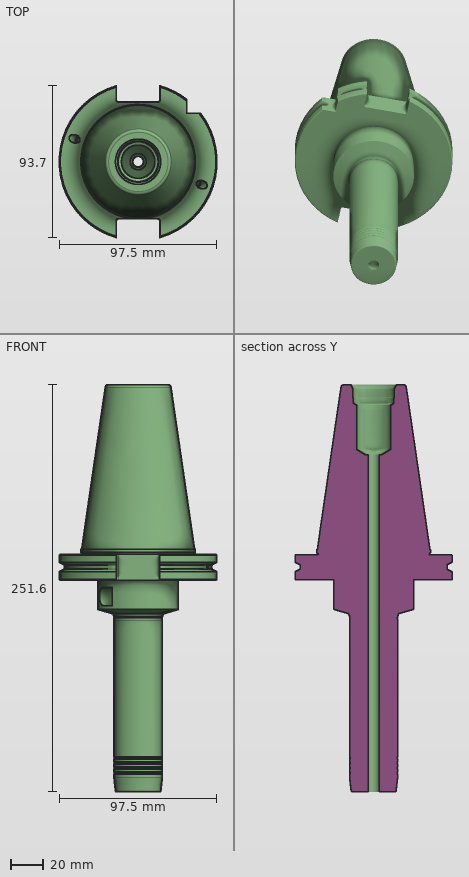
import cadquery as cq
import math

overall_length = 251.6

gauge_radius = 34.925
taper_length = 101.75
taper_slope = 7 / 48
taper_tip_fillet = 2.0
gauge_ring_radius = 35.4
gauge_ring_height = 1.9
neck_radius = 34.4

flange_radius = 97.45 / 2
flange_top_z = -3.2
flange_bottom_z = -19.1
flange_chamfer = 0.6
groove_z = -10.95
groove_floor_radius = 45.65
groove_floor_width = 2.8
groove_mouth_width = 5.7
groove_floor_fillet = 0.5

slot_half_width = 13.39
slot_corner_radius = 1.0
front_slot_floor = 35.4
rear_slot_floor = 37.0
notch_offset = 30.05

body_radius = 24.9
body_bottom_z = -37.2
body_cone_end_radius = 15.6
body_cone_end_z = -39.9
nose_top_z = -41.6
nose_radius = 15.0
relief_radius = 14.85
relief_top_z = -42.2
relief_bottom_z = -44.0
nose_taper_z = -141.0
nose_tip_radius = 14.0
nose_tip_fillet = 0.9
nose_end_z = taper_length - overall_length

seal_groove_count = 4
seal_groove_first_z = -129.0
seal_groove_pitch = 3.05
seal_groove_width = 1.7
seal_groove_depth = 0.4

mouth_radius = 14.0
mouth_depth = 2.5
pilot_radius = 12.65
pilot_depth = 8.1
counterbore_radius = 12.35
counterbore_depth = 11.5
thread_chamfer_angle = math.radians(30)
thread_radius = 10.3
thread_depth = 40.0
cone_end_radius = 5.0
coolant_radius = 3.3
drill_half_angle = math.radians(59)

screw_radius = 5.7
screw_y = -13.0
screw_z = -29.1
screw_floor_x = -16.1

port_angles = (160.2, 340.2)
port_circle_radius = 41.8
port_tilt = math.radians(42)
port_recess_radius = 2.5
port_recess_depth = 4.0
port_drill_radius = 1.6
port_drill_depth = 12.0
port_radial_radius = 1.4
port_radial_end = 36.0


def revolve_profile(profile):
    return profile.close().revolve(360, (0, 0, 0), (0, 1, 0))


def make_shank():
    tip_radius = gauge_radius - taper_slope * taper_length
    profile = (
        cq.Workplane("XZ")
        .moveTo(0, flange_top_z)
        .lineTo(neck_radius, flange_top_z)
        .lineTo(gauge_ring_radius, -gauge_ring_height)
        .lineTo(gauge_ring_radius, 0)
        .lineTo(gauge_radius, 0)
        .lineTo(tip_radius, taper_length)
        .lineTo(0, taper_length)
    )
    return revolve_profile(profile).faces(">Z").edges().fillet(taper_tip_fillet)


def make_flange():
    half_floor = groove_floor_width / 2
    half_mouth = groove_mouth_width / 2
    profile = (
        cq.Workplane("XZ")
        .moveTo(0, flange_top_z)
        .lineTo(flange_radius - flange_chamfer, flange_top_z)
        .lineTo(flange_radius, flange_top_z - flange_chamfer)
        .lineTo(flange_radius, groove_z + half_mouth)
        .lineTo(groove_floor_radius, groove_z + half_floor)
        .lineTo(groove_floor_radius, groove_z - half_floor)
        .lineTo(flange_radius, groove_z - half_mouth)
        .lineTo(flange_radius, flange_bottom_z + flange_chamfer)
        .lineTo(flange_radius - flange_chamfer, flange_bottom_z)
        .lineTo(0, flange_bottom_z)
    )
    flange = revolve_profile(profile)
    floor_edges = cq.selectors.RadiusNthSelector(0)
    return flange.edges("%CIRCLE").edges(floor_edges).fillet(groove_floor_fillet)


def flange_cutter(x_min, x_max, y_min, y_max):
    height = flange_top_z - flange_bottom_z
    block = cq.Workplane("XY").box(x_max - x_min, y_max - y_min, height, centered=False)
    return block.translate((x_min, y_min, flange_bottom_z))


def cut_flange(flange):
    reach = flange_radius + 1
    rear_slot = flange_cutter(-slot_half_width, slot_half_width, rear_slot_floor, reach)
    front_slot = flange_cutter(-slot_half_width, slot_half_width, -reach, -front_slot_floor)
    rear_slot = rear_slot.edges("|Z and <Y").fillet(slot_corner_radius)
    front_slot = front_slot.edges("|Z and >Y").fillet(slot_corner_radius)
    notch = flange_cutter(notch_offset, reach, notch_offset, reach)
    return flange.cut(rear_slot).cut(front_slot).cut(notch)


def make_body():
    profile = (
        cq.Workplane("XZ")
        .moveTo(0, flange_bottom_z)
        .lineTo(body_radius, flange_bottom_z)
        .lineTo(body_radius, body_bottom_z)
        .lineTo(body_cone_end_radius, body_cone_end_z)
        .lineTo(nose_radius, nose_top_z)
        .lineTo(nose_radius, relief_top_z)
        .lineTo(relief_radius, relief_top_z)
        .lineTo(nose_radius, relief_bottom_z)
        .lineTo(nose_radius, nose_taper_z)
        .lineTo(nose_tip_radius, nose_end_z)
        .lineTo(0, nose_end_z)
    )
    return revolve_profile(profile).faces("<Z").edges().fillet(nose_tip_fillet)


def seal_groove(index):
    center_z = seal_groove_first_z - index * seal_groove_pitch
    half_width = seal_groove_width / 2
    profile = (
        cq.Workplane("XZ")
        .moveTo(nose_radius, center_z + half_width)
        .lineTo(nose_radius - seal_groove_depth, center_z)
        .lineTo(nose_radius, center_z - half_width)
    )
    return revolve_profile(profile)


def drawbar_bore():
    counterbore_z = taper_length - counterbore_depth
    pilot_z = taper_length - pilot_depth
    pilot_end_z = pilot_z - (pilot_radius - counterbore_radius)
    step_z = counterbore_z - (counterbore_radius - thread_radius) * math.tan(thread_chamfer_angle)
    thread_end_z = taper_length - thread_depth
    cone_end_z = thread_end_z - (thread_radius - cone_end_radius) / math.tan(drill_half_angle)
    profile = (
        cq.Workplane("XZ")
        .moveTo(0, taper_length)
        .lineTo(mouth_radius, taper_length)
        .lineTo(pilot_radius, taper_length - mouth_depth)
        .lineTo(pilot_radius, pilot_z)
        .lineTo(counterbore_radius, pilot_end_z)
        .lineTo(counterbore_radius, counterbore_z)
        .lineTo(thread_radius, step_z)
        .lineTo(thread_radius, thread_end_z)
        .lineTo(cone_end_radius, cone_end_z)
        .lineTo(coolant_radius, cone_end_z)
        .lineTo(coolant_radius, nose_end_z)
        .lineTo(0, nose_end_z)
    )
    return revolve_profile(profile)


def screw_pocket():
    length = body_radius + screw_floor_x
    mouth = cq.Workplane("YZ", origin=(-body_radius, screw_y, screw_z))
    hole = mouth.circle(screw_radius).extrude(length)
    tip = cq.Workplane(
        cq.Solid.makeCone(
            screw_radius,
            0,
            screw_radius / math.tan(drill_half_angle),
            cq.Vector(screw_floor_x, screw_y, screw_z),
            cq.Vector(1, 0, 0),
        )
    )
    open_width = body_radius + screw_y
    opening = mouth.center(-open_width / 2, 0).rect(open_width, 2 * screw_radius).extrude(length)
    return hole.union(opening).union(tip)


def coolant_port(angle):
    inward = cq.Vector(-math.sin(port_tilt), 0, -math.cos(port_tilt))
    mouth = cq.Vector(port_circle_radius, 0, flange_top_z)
    lead_in = 2 * port_recess_radius
    recess = cq.Solid.makeCylinder(
        port_recess_radius, port_recess_depth + lead_in, mouth - inward * lead_in, inward
    )
    drilling = cq.Solid.makeCylinder(port_drill_radius, port_drill_depth, mouth, inward)
    radial_hole = cq.Solid.makeCylinder(
        port_radial_radius,
        flange_radius - port_radial_end,
        cq.Vector(port_radial_end, 0, groove_z),
        cq.Vector(1, 0, 0),
    )
    port = cq.Workplane(recess.fuse(drilling, radial_hole))
    return port.rotate((0, 0, 0), (0, 0, 1), angle)


flange = cut_flange(make_flange())
for angle in port_angles:
    flange = flange.cut(coolant_port(angle))

body = make_body().cut(screw_pocket())
for index in range(seal_groove_count):
    body = body.cut(seal_groove(index))

result = make_shank().union(flange).union(body).cut(drawbar_bore())